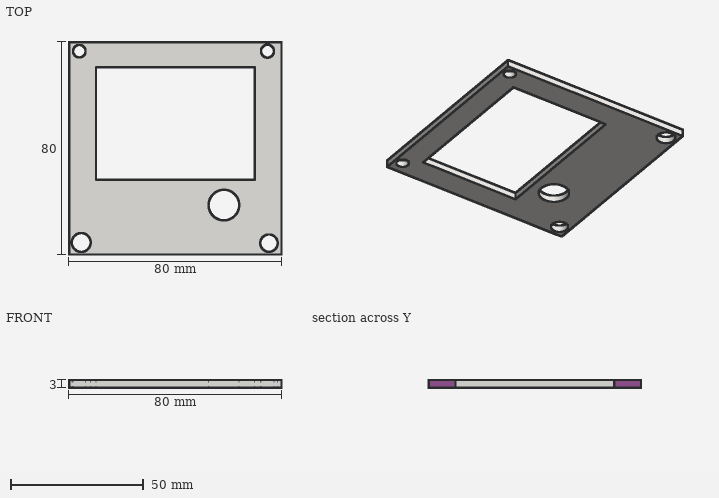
import cadquery as cq

plate_side = 80.0
plate_thickness = 3.0

window_width = 59.6
window_height = 42.25
window_center = (0, 9.4)

corner_holes = [
    (4.65, -36.2, 36.6),
    (4.8, 34.65, 36.6),
    (7.05, -35.45, -35.45),
    (6.5, 35.2, -35.7),
]
large_hole = (11.45, 18.25, -21.4)


def through_hole(diameter, x, y):
    """Cylinder that pierces the plate at (x, y)."""
    return cq.Workplane("XY").center(x, y).circle(diameter / 2).extrude(plate_thickness)


plate = cq.Workplane("XY").rect(plate_side, plate_side).extrude(plate_thickness)

window = (
    cq.Workplane("XY")
    .center(*window_center)
    .rect(window_width, window_height)
    .extrude(plate_thickness)
)

result = plate.cut(window)
for diameter, x, y in corner_holes + [large_hole]:
    result = result.cut(through_hole(diameter, x, y))